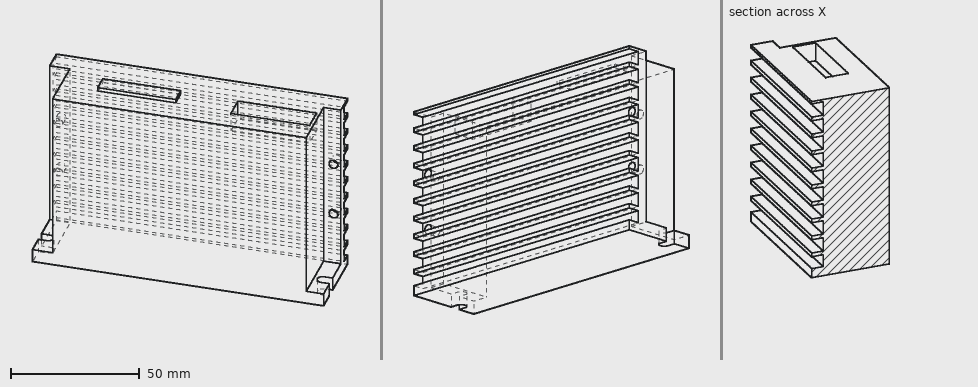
import cadquery as cq

length = 118.11
depth = 33.02
tab_height = 1.52
height = 76.71 - tab_height

base_thickness = 5.46
relief_depth = 23.75
left_relief_width = 8.2
right_relief_width = 7.0

fin_length = 4.83
fin_thickness = 1.78
fin_pitch = 7.23
top_fin_thickness = 1.2
bottom_fin_thickness = 4.06
groove_count = 10
groove_height = fin_pitch - fin_thickness

slot_width = 4.4
slot_reach = 5.6
slot_y = 10.3

hole_diameter = 3.6
left_hole_edge_distance = 3.4
right_hole_edge_distance = 3.0
hole_heights = (27.6, 50.1)

tab_length = 31.6
tab_width = 7.0
tab_x = 23.3
tab_y = 10.8
socket_length = 31.9
socket_width = 9.7
socket_depth = 7.62
socket_x = 77.8
socket_y = 9.2


def box_at(x, y, z, size_x, size_y, size_z):
    """Box with its smallest-coordinate corner at (x, y, z)."""
    return cq.Workplane("XY").box(size_x, size_y, size_z, centered=False).translate((x, y, z))


def corner_relief(x, width):
    """Front corner cleared from the base flange to the top."""
    return box_at(x, 0, base_thickness, width, relief_depth, height - base_thickness)


def fin_groove(index):
    """Groove between fins, counted from the top; the lowest stops at the thick bottom fin."""
    groove_top = height - top_fin_thickness - index * fin_pitch
    groove_bottom = max(groove_top - groove_height, bottom_fin_thickness)
    return box_at(0, depth - fin_length, groove_bottom, length, fin_length, groove_top - groove_bottom)


def mounting_slot(edge_x):
    """Round-ended slot centred on a side edge, so that half of it lies inside the flange."""
    return (
        cq.Workplane("XY")
        .center(edge_x, slot_y)
        .slot2D(2 * slot_reach, slot_width)
        .extrude(base_thickness)
    )


def mounting_hole(x, z):
    """Hole running the full depth along Y."""
    return cq.Workplane("XZ").center(x, z).circle(hole_diameter / 2).extrude(-depth)


result = box_at(0, 0, 0, length, depth, height)

result = result.cut(corner_relief(0, left_relief_width))
result = result.cut(corner_relief(length - right_relief_width, right_relief_width))

for groove_index in range(groove_count):
    result = result.cut(fin_groove(groove_index))

for side_x in (0, length):
    result = result.cut(mounting_slot(side_x))

for hole_x in (left_hole_edge_distance, length - right_hole_edge_distance):
    for hole_z in hole_heights:
        result = result.cut(mounting_hole(hole_x, hole_z))

connector_tab = box_at(tab_x, tab_y, height, tab_length, tab_width, tab_height)
result = result.union(connector_tab)

connector_socket = box_at(
    socket_x, socket_y, height - socket_depth, socket_length, socket_width, socket_depth
)
result = result.cut(connector_socket)